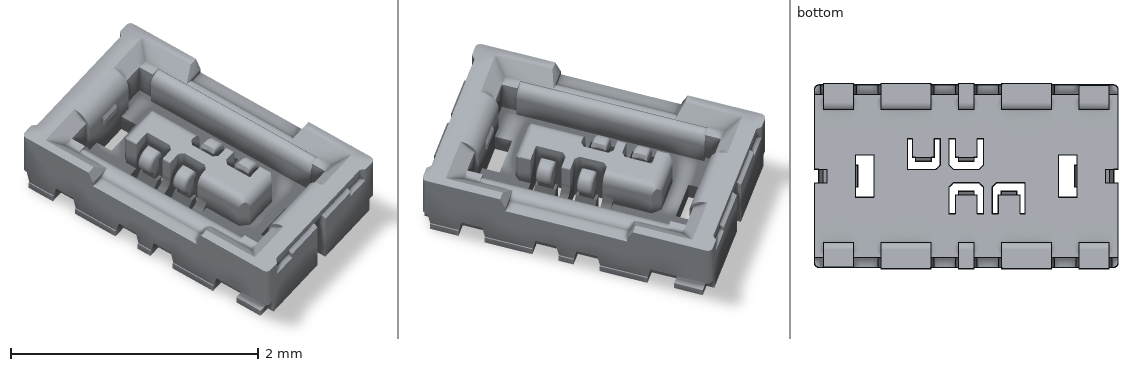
import cadquery as cq
import math

LENGTH = 2.46
BODY_WIDTH = 1.48
PAD_SPAN = 1.5
TOP_Z = 0.6
BASE_Z = 0.032
CORNER_RADIUS = 0.042
HALF_LENGTH = LENGTH / 2
HALF_WIDTH = BODY_WIDTH / 2

MOUTH_X, MOUTH_Y = 1.048, 0.667
THROAT_X, THROAT_Y = 0.93, 0.549
LEDGE_Z = 0.505
COLUMN_Y = 0.465
FLOOR_Z = 0.192
FLOOR_X, FLOOR_Y = 0.895, 0.44
FLOOR_CHAMFER_HEIGHT = 0.02
RAIL_HALF_LENGTH = 0.797
RAIL_Y = 0.544
RAIL_TOP_Z = 0.497
BULGE_HALF_WIDTH = 0.268

SADDLE_TOP_X, SADDLE_X = 0.563, 0.517
SADDLE_FLAT_Z = 0.462
SADDLE_STEP_Y = 0.632

WINDOW_X, WINDOW_Y = 0.748, 0.17
LATCH_HALF_WIDTH = 0.089
LATCH_DEPTH = 0.017
LATCH_TOP_Z, LATCH_LIP_Z, LATCH_BOTTOM_Z = 0.438, 0.399, 0.342

RECESS_DEPTH = 0.035
RECESS_SLOPE = 0.027
RECESS_Y = 0.61
RECESS_Z = 0.462
TAB_Y = 0.403
TAB_Z = 0.512
SLOT_HALF_WIDTH = 0.055

FOOT_TOP_Z = 0.172
FOOT_Y = 0.66
FOOT_FLARE = 0.025
PAD_TOP_Z = 0.065
PAD_FLAT_Y, PAD_END_Y = 0.593, 0.539
FOOT_SPANS = [(-1.155, -0.913), (-0.691, -0.285), (-0.065, 0.065), (0.285, 0.691)]
FREE_PAD_SPAN = (0.913, 1.155)
FREE_PAD_Y = 0.735

ISLAND_X, ISLAND_Y = 0.617, 0.202
ISLAND_RADIUS = 0.09
ISLAND_CORNER = 0.065
BRIDGE_RADIUS = 0.017
BRIDGE_CORNER = 0.042
BASE_FILLET = 0.084
BASE_FILLET_START = -0.226

CONTACT_SLOTS = [(-0.138, 0.138), (0.212, 0.475)]
CONTACT_CENTERS = [0.0, 0.347]
SLOT_INNER_Y, SLOT_OUTER_Y = 0.055, 0.303
SLOT_CORNER = 0.035
SLOT_STEP_Y = 0.36
SLOT_STEP_DEPTH = 0.075

LEG_HALF_WIDTH = 0.089
LEG_INNER_Y, LEG_OUTER_Y = 0.153, 0.285
LEG_SHOULDER_Y = 0.207
LEG_LOW_Z, LEG_HIGH_Z = 0.098, 0.197
HOOK_HALF_WIDTH = 0.065
HOOK_OUTER_Y, HOOK_APEX_Y = 0.28, 0.172
HOOK_FLAT_Y, HOOK_INNER_Y = 0.14, 0.12
HOOK_TOP_Z = 0.477
HOOK_TIP_DROP = 0.037
HOOK_TIP_Z = 0.405
HOOK_EDGE = 0.03
HOOK_CURL = math.radians(40)


def box(x0, x1, y0, y1, z0, z1):
    return cq.Workplane("XY").box(x1 - x0, y1 - y0, z1 - z0, centered=False).translate((x0, y0, z0))


def quarter_middle(center_a, center_b, toward_a, toward_b, radius):
    """Middle point of a quarter arc bulging toward the given signs."""
    reach = radius * math.sqrt(0.5)
    return (center_a + toward_a * reach, center_b + toward_b * reach)


def along_x(profile, x0, x1):
    """Extrude a profile drawn in (Y, Z) from x0 to x1."""
    return profile.close().extrude(x1 - x0).translate((x0, 0, 0))


def along_y(profile, half_width):
    """Extrude a profile drawn in (X, Z) evenly to both sides of Y = 0."""
    return profile.close().extrude(half_width, both=True)


def frustum(x0, y0, z0, x1, y1, z1):
    """Rectangular loft between two centred half-sizes."""
    bottom = cq.Workplane("XY").workplane(offset=z0).rect(2 * x0, 2 * y0)
    return bottom.workplane(offset=z1 - z0).rect(2 * x1, 2 * y1).loft(combine=True)


def half_turn(shape):
    return shape.rotate((0, 0, 0), (0, 0, 1), 180)


def with_half_turn(shape):
    return shape.union(half_turn(shape))


def make_body():
    block = box(-HALF_LENGTH, HALF_LENGTH, -HALF_WIDTH, HALF_WIDTH, BASE_Z, TOP_Z)
    return block.edges("|Z").fillet(CORNER_RADIUS)


def make_cavity():
    chamfer_z = FLOOR_Z + FLOOR_CHAMFER_HEIGHT
    funnel = frustum(THROAT_X, THROAT_Y, LEDGE_Z, MOUTH_X, MOUTH_Y, TOP_Z)
    well = box(-THROAT_X, THROAT_X, -COLUMN_Y, COLUMN_Y, chamfer_z, LEDGE_Z)
    floor = frustum(FLOOR_X, FLOOR_Y, FLOOR_Z, THROAT_X, COLUMN_Y, chamfer_z)
    return funnel.union(well).union(floor)


def make_rail():
    """Rounded rail on the +Y wall between the corner columns."""
    radius = RAIL_Y - FLOOR_Y
    low_z = RAIL_TOP_Z - radius
    middle = quarter_middle(RAIL_Y, low_z, -1, 1, radius)
    round_top = (
        cq.Workplane("YZ")
        .moveTo(RAIL_Y, RAIL_TOP_Z)
        .threePointArc(middle, (FLOOR_Y, low_z))
        .lineTo(FLOOR_Y, FLOOR_Z)
        .lineTo(RAIL_Y, FLOOR_Z)
    )
    return along_x(round_top, -RAIL_HALF_LENGTH, RAIL_HALF_LENGTH)


def make_rail_clearance():
    """Space between the corner columns that the rail only partly fills."""
    return box(-RAIL_HALF_LENGTH, RAIL_HALF_LENGTH, FLOOR_Y, RAIL_Y, FLOOR_Z, LEDGE_Z)


def make_bulge():
    """Rounded lead-in on the +X wall with a small latch below it."""
    radius = MOUTH_X - FLOOR_X
    low_z = TOP_Z - radius
    middle = quarter_middle(MOUTH_X, low_z, -1, 1, radius)
    lead_in = (
        cq.Workplane("XZ")
        .moveTo(MOUTH_X, TOP_Z)
        .threePointArc(middle, (FLOOR_X, low_z))
        .lineTo(FLOOR_X, FLOOR_Z)
        .lineTo(MOUTH_X, FLOOR_Z)
    )
    latch_x = FLOOR_X - LATCH_DEPTH
    latch = cq.Workplane("XZ").polyline([
        (FLOOR_X, LATCH_TOP_Z),
        (latch_x, LATCH_LIP_Z),
        (latch_x, LATCH_BOTTOM_Z),
        (FLOOR_X, LATCH_BOTTOM_Z),
    ])
    return along_y(lead_in, BULGE_HALF_WIDTH).union(along_y(latch, LATCH_HALF_WIDTH))


def make_saddle_cut():
    """Opening through both long walls, leaving a crowned sill."""
    notch = along_y(
        cq.Workplane("XZ").polyline([
            (-SADDLE_TOP_X, TOP_Z),
            (-SADDLE_X, LEDGE_Z),
            (SADDLE_X, LEDGE_Z),
            (SADDLE_TOP_X, TOP_Z),
        ]),
        HALF_WIDTH,
    )
    run = SADDLE_STEP_Y - THROAT_Y
    drop = LEDGE_Z - SADDLE_FLAT_Z
    radius = (run**2 + drop**2) / (2 * drop)
    half_angle = math.asin(run / radius) / 2
    crown_middle = (
        THROAT_Y + radius * math.sin(half_angle),
        LEDGE_Z - radius * (1 - math.cos(half_angle)),
    )
    sill = along_x(
        cq.Workplane("YZ")
        .moveTo(THROAT_Y, LEDGE_Z)
        .threePointArc(crown_middle, (SADDLE_STEP_Y, SADDLE_FLAT_Z))
        .lineTo(HALF_WIDTH, SADDLE_FLAT_Z)
        .lineTo(HALF_WIDTH, LEDGE_Z),
        -SADDLE_X,
        SADDLE_X,
    )
    return notch.union(with_half_turn(sill))


def make_window():
    return box(WINDOW_X, FLOOR_X, -WINDOW_Y, WINDOW_Y, BASE_Z, FLOOR_Z)


def make_end_recess():
    """Shallow recess with sloped edges at the top of the +X end, around a raised middle tab."""
    inner_x = HALF_LENGTH - RECESS_DEPTH
    inner_y = RECESS_Y - RECESS_DEPTH
    inner_z = RECESS_Z + RECESS_SLOPE
    outer_height = TOP_Z - RECESS_Z
    inner_height = TOP_Z - inner_z
    recess = (
        cq.Workplane("YZ", origin=(HALF_LENGTH, 0, 0))
        .center(0, RECESS_Z + outer_height / 2)
        .rect(2 * RECESS_Y, outer_height)
        .workplane(offset=-RECESS_DEPTH)
        .center(0, (outer_height - inner_height) / 2)
        .rect(2 * inner_y, inner_height)
        .loft(combine=True)
    )
    tab = cq.Workplane("XZ").polyline([
        (inner_x, RECESS_Z),
        (HALF_LENGTH, RECESS_Z),
        (HALF_LENGTH, TAB_Z),
        (inner_x, TAB_Z + RECESS_SLOPE),
    ])
    return recess.cut(along_y(tab, TAB_Y))


def make_end_slot():
    """Vertical slot in the +X end, deeper than the recess and opening out at the bottom."""
    recess_x = HALF_LENGTH - RECESS_DEPTH
    slot_x = recess_x - RECESS_DEPTH
    top_z = TAB_Z + RECESS_SLOPE
    slot = cq.Workplane("XZ").polyline([
        (HALF_LENGTH, BASE_Z),
        (slot_x - RECESS_DEPTH, BASE_Z),
        (slot_x, BASE_Z + RECESS_DEPTH),
        (slot_x, top_z - RECESS_DEPTH),
        (recess_x, top_z),
        (HALF_LENGTH, top_z),
    ])
    return along_y(slot, SLOT_HALF_WIDTH)


def make_foot_relief():
    """Space removed along the bottom of the -Y side, between the flared feet."""
    relief = box(-HALF_LENGTH, HALF_LENGTH, -HALF_WIDTH, -FOOT_Y, BASE_Z, FOOT_TOP_Z)
    for x0, x1 in FOOT_SPANS:
        foot = cq.Workplane("XZ").polyline([
            (x0, BASE_Z),
            (x0, PAD_TOP_Z),
            (x0 - FOOT_FLARE, FOOT_TOP_Z),
            (x1 + FOOT_FLARE, FOOT_TOP_Z),
            (x1, PAD_TOP_Z),
            (x1, BASE_Z),
        ])
        relief = relief.cut(along_y(foot, HALF_WIDTH))
    return relief


def make_pad(x0, x1, outer_y):
    """Solder pad on the -Y side whose inner end curves up into the base."""
    run = PAD_FLAT_Y - PAD_END_Y
    radius = (run**2 + BASE_Z**2) / (2 * BASE_Z)
    half_angle = math.asin(run / radius) / 2
    bend = (
        -PAD_FLAT_Y + radius * math.sin(half_angle),
        radius * (1 - math.cos(half_angle)),
    )
    profile = (
        cq.Workplane("YZ")
        .moveTo(-outer_y, 0)
        .lineTo(-PAD_FLAT_Y, 0)
        .threePointArc(bend, (-PAD_END_Y, BASE_Z))
        .lineTo(-PAD_END_Y, PAD_TOP_Z)
        .lineTo(-outer_y, PAD_TOP_Z)
    )
    return along_x(profile, x0, x1)


def make_pads():
    pads = make_pad(*FREE_PAD_SPAN, FREE_PAD_Y)
    for x0, x1 in FOOT_SPANS:
        pads = pads.union(make_pad(x0, x1, PAD_SPAN / 2))
    return with_half_turn(pads)


def make_island():
    """Raised island: fully rounded ends and sides, flatter bridges beside the contact slots."""
    block = box(-ISLAND_X, ISLAND_X, -ISLAND_Y, ISLAND_Y, FLOOR_Z, LEDGE_Z)
    bridge = box(0, ISLAND_X, 0, ISLAND_Y, FLOOR_Z, LEDGE_Z)
    bridge = bridge.edges(">Y and >Z").fillet(BRIDGE_RADIUS)
    island = block.edges(">Z and |X").fillet(ISLAND_RADIUS)
    island = island.union(with_half_turn(bridge))
    rounded_corner_x = ISLAND_X - ISLAND_CORNER
    bridge_corner_x = ISLAND_X - BRIDGE_CORNER
    outline = cq.Workplane("XY", origin=(0, 0, FLOOR_Z)).polyline([
        (-ISLAND_X, ISLAND_Y - ISLAND_CORNER),
        (-rounded_corner_x, ISLAND_Y),
        (bridge_corner_x, ISLAND_Y),
        (ISLAND_X, ISLAND_Y - BRIDGE_CORNER),
        (ISLAND_X, ISLAND_CORNER - ISLAND_Y),
        (rounded_corner_x, -ISLAND_Y),
        (-bridge_corner_x, -ISLAND_Y),
        (-ISLAND_X, BRIDGE_CORNER - ISLAND_Y),
    ])
    island = island.intersect(outline.close().extrude(LEDGE_Z - FLOOR_Z))
    island = island.intersect(block.edges(">Z and |Y").fillet(ISLAND_RADIUS))

    fillet_y = ISLAND_Y + BASE_FILLET
    fillet_z = FLOOR_Z + BASE_FILLET
    middle = quarter_middle(fillet_y, fillet_z, -1, -1, BASE_FILLET)
    base_fillet = along_x(
        cq.Workplane("YZ")
        .moveTo(ISLAND_Y, FLOOR_Z)
        .lineTo(fillet_y, FLOOR_Z)
        .threePointArc(middle, (ISLAND_Y, fillet_z)),
        BASE_FILLET_START,
        CONTACT_SLOTS[-1][1],
    )
    return island.union(with_half_turn(base_fillet))


def make_contact_slots():
    """Slots through the island and floor on the +Y side, each with a step at its outer end.

    The slot nearer the island end has only one chamfered corner.
    """
    cuts = cq.Workplane("XY")
    for x0, x1 in CONTACT_SLOTS:
        slot = box(x0, x1, SLOT_INNER_Y, SLOT_OUTER_Y, BASE_Z, LEDGE_Z)
        corners = "|Z and <Y" if x0 < 0 else "|Z and <Y and <X"
        slot = slot.edges(corners).chamfer(SLOT_CORNER)
        step = box(x0, x1, SLOT_OUTER_Y, SLOT_STEP_Y, FLOOR_Z - SLOT_STEP_DEPTH, FLOOR_Z)
        cuts.add(slot.union(step))
    return cuts.combine()


def make_contact(center_x):
    """Contact in a +Y slot: a wide leg joined to the floor and a rounded hook above it."""
    step_z = FLOOR_Z - SLOT_STEP_DEPTH
    leg = along_x(
        cq.Workplane("YZ").polyline([
            (LEG_INNER_Y, BASE_Z),
            (SLOT_OUTER_Y, BASE_Z),
            (SLOT_OUTER_Y, step_z),
            (LEG_OUTER_Y, step_z),
            (LEG_OUTER_Y, LEG_LOW_Z),
            (LEG_SHOULDER_Y, LEG_HIGH_Z),
            (LEG_INNER_Y, LEG_HIGH_Z),
        ]),
        -LEG_HALF_WIDTH,
        LEG_HALF_WIDTH,
    )
    radius = HOOK_OUTER_Y - HOOK_APEX_Y
    center_z = HOOK_TOP_Z - radius
    curl_y = HOOK_APEX_Y + radius * math.cos(HOOK_CURL)
    curl_z = center_z - radius * math.sin(HOOK_CURL)
    hook = along_x(
        cq.Workplane("YZ")
        .moveTo(HOOK_APEX_Y, HOOK_TOP_Z)
        .threePointArc((HOOK_OUTER_Y, center_z), (curl_y, curl_z))
        .lineTo(LEG_SHOULDER_Y, curl_z)
        .lineTo(LEG_SHOULDER_Y, BASE_Z)
        .lineTo(LEG_INNER_Y, BASE_Z)
        .lineTo(LEG_INNER_Y, HOOK_TIP_Z)
        .lineTo(HOOK_INNER_Y, HOOK_TIP_Z)
        .lineTo(HOOK_INNER_Y, HOOK_TOP_Z - HOOK_TIP_DROP)
        .lineTo(HOOK_FLAT_Y, HOOK_TOP_Z),
        -HOOK_HALF_WIDTH,
        HOOK_HALF_WIDTH,
    )
    hook = hook.edges("%CIRCLE").fillet(HOOK_EDGE)
    return leg.union(hook).translate((center_x, 0, 0))


body = make_body().cut(make_cavity())
body = body.cut(with_half_turn(make_rail_clearance())).union(with_half_turn(make_rail()))
body = body.union(with_half_turn(make_bulge()))
body = body.cut(make_saddle_cut())
body = body.cut(with_half_turn(make_window()))
body = body.cut(with_half_turn(make_end_recess()))
body = body.cut(with_half_turn(make_end_slot()))
body = body.cut(with_half_turn(make_foot_relief()))
body = body.union(make_pads())
body = body.union(make_island()).cut(with_half_turn(make_contact_slots()))
for contact_x in CONTACT_CENTERS:
    body = body.union(with_half_turn(make_contact(contact_x)))

result = body